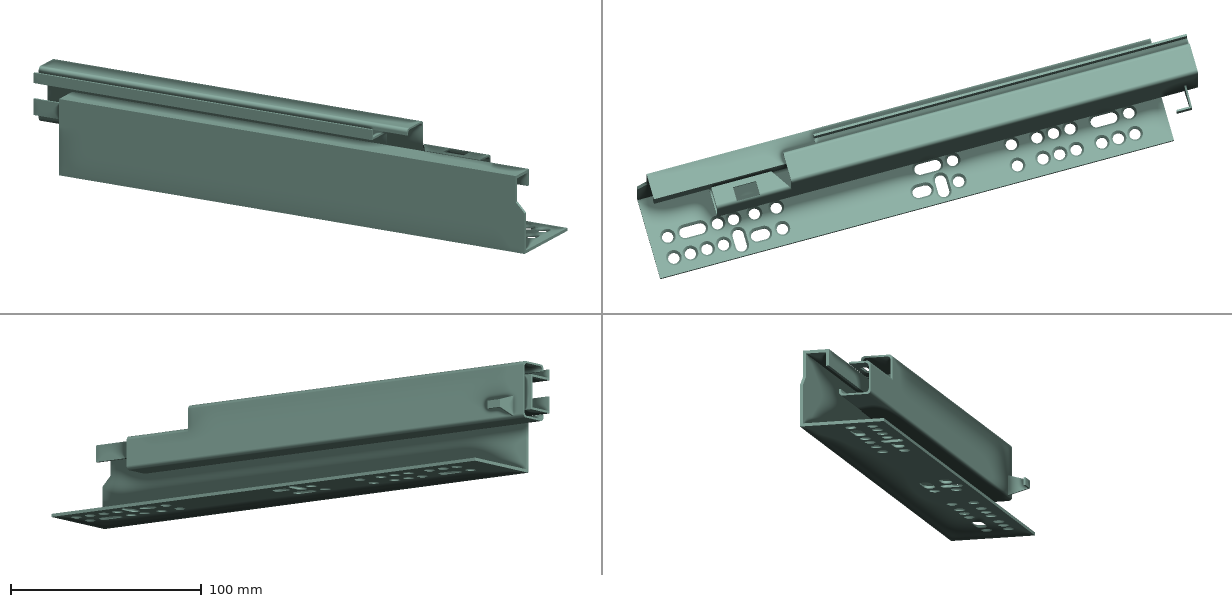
import cadquery as cq
import math

total_length = 298.0
total_height = 54.0
overlap = 0.3

bracket_start = 18.2
bracket_height = 42.0
bracket_depth = 46.0
bracket_thickness = 1.65
bracket_flange_width = 14.3
bracket_lip_drop = 9.0
notch_length = 5.5
notch_depth = 14.3

hole_diameter = 6.0
sink_diameter = 8.3
sink_angle = 45.0
hole_first_x = 37.0
hole_last_group_x = 261.0
last_group = 7
hole_group_pitch = (hole_last_group_x - hole_first_x) / last_group
group_span = 27.0
hole_step = group_span / 3
hole_back_y = 37.0
hole_front_y = 25.0
cross_slot_length = 14.5
short_slot_length = 12.5
long_slot_length = 16.7
long_slot_offset = 1.5 * hole_step
rear_slot_offset = 12.0
rear_cross_slot_offset = 23.2
middle_slot_offset = 20.0

middle_thickness = 1.2
middle_length = 203.2
middle_front_y = 5.5
middle_back_y = 21.5
middle_bottom_z = 29.0
middle_top_z = 47.7
middle_upper_lip_top = 52.2
middle_lower_lip_top = 37.8

outer_length = 221.5
outer_thickness = 1.0
outer_front_y = 10.7
outer_back_y = 28.0
outer_bottom_z = 23.8
outer_lip_height = 3.5
outer_bend = 2.0

tongue_end = 262.0
tongue_top_z = 41.7
tongue_shelf_front_y = 16.0
tongue_slant_length = 7.7
window_start = 238.5
window_length = 12.5
window_front_y = 19.0
window_back_y = 26.8

hook_x = 6.5
hook_tip_y = 39.5
hook_tip_length = 8.3
hook_root_bottom, hook_root_top = 25.0, 36.0
hook_tip_bottom, hook_tip_top = 28.3, 32.5


def block(x0, x1, y0, y1, z0, z1):
    """Box given by its limits along the three axes."""
    return cq.Workplane("XY").box(x1 - x0, y1 - y0, z1 - z0, centered=False).translate((x0, y0, z0))


def hole_outline(x, y, length, diameter, angle):
    """Slot outline on the upper face of the base; a length equal to the diameter gives a circle."""
    face = cq.Workplane("XY", origin=(x, y, bracket_thickness))
    if length > diameter:
        return face.slot2D(length, diameter, angle)
    return face.circle(diameter / 2)


def mounting_hole(x, y, length=sink_diameter, angle=0):
    """Countersunk hole or slot; length is measured over the countersink at the upper face."""
    sink_depth = (sink_diameter - hole_diameter) / 2 / math.tan(math.radians(sink_angle))
    through_length = length - (sink_diameter - hole_diameter)
    through = hole_outline(x, y, through_length, hole_diameter, angle).extrude(-bracket_thickness)
    sink = hole_outline(x, y, length, sink_diameter, angle).extrude(-sink_depth, taper=sink_angle)
    return through.union(sink)


def mounting_holes():
    """All holes of the two rows; each is listed as (group, offset within the group)."""
    def group_x(group):
        return hole_first_x + group * hole_group_pitch

    triple = [step * hole_step for step in range(3)]

    round_back = [(group, offset) for group in (0, 1, last_group) for offset in triple]
    round_back += [(2, 0), (3, 0), (6, 0), (last_group, group_span)]
    round_front = [(1, offset) for offset in triple]
    round_front += [(group, 0) for group in (0, 2, 3, 6, last_group)]
    round_front += [(6, rear_slot_offset), (6, rear_cross_slot_offset), (last_group, group_span)]

    cross_slots = [(3, hole_step), (6, rear_cross_slot_offset)]
    short_slots = [(3, middle_slot_offset), (6, rear_slot_offset)]
    long_slots = [(group, long_slot_offset) for group in (0, 3, last_group)]

    holes = [mounting_hole(group_x(group) + offset, hole_back_y) for group, offset in round_back]
    holes += [mounting_hole(group_x(group) + offset, hole_front_y) for group, offset in round_front]
    for group, offset in cross_slots:
        holes.append(mounting_hole(group_x(group) + offset, hole_back_y, cross_slot_length, 90))
    for group, offset in short_slots:
        holes.append(mounting_hole(group_x(group) + offset, hole_back_y, short_slot_length))
    for group, offset in long_slots:
        holes.append(mounting_hole(group_x(group) + offset, hole_front_y, long_slot_length))
    return holes


def make_bracket():
    """Drilled base plate, front wall and a top flange with a lip hanging from it."""
    x0, x1 = bracket_start, total_length
    t = bracket_thickness
    base = block(x0, x1, 0, bracket_depth, 0, t)
    wall = block(x0, x1, 0, t, 0, bracket_height)
    flange = block(x0, x1, 0, bracket_flange_width, bracket_height - t, bracket_height)
    lip_bottom = bracket_height - bracket_lip_drop
    lip = block(x0, x1, bracket_flange_width - t, bracket_flange_width, lip_bottom, bracket_height)
    bracket = base.union(wall).union(flange).union(lip)

    notch_x = x1 - notch_length
    slope_top = bracket_height - notch_depth
    notch = (
        cq.Workplane("XZ", origin=(0, -overlap, 0))
        .moveTo(notch_x, bracket_height + overlap)
        .lineTo(notch_x, slope_top)
        .lineTo(x1, slope_top - notch_length)
        .lineTo(x1 + overlap, slope_top - notch_length)
        .lineTo(x1 + overlap, bracket_height + overlap)
        .close()
        .extrude(-(bracket_flange_width + 2 * overlap))
    )
    bracket = bracket.cut(notch)

    for hole in mounting_holes():
        bracket = bracket.cut(hole)
    return bracket


def make_middle_rail():
    """Sheet channel: a web with two flanges, each with an upright lip at its front edge."""
    t = middle_thickness
    y0, y1 = middle_front_y, middle_back_y
    z0, z1 = middle_bottom_z, middle_top_z
    web = block(0, middle_length, y1 - t, y1, z0, z1)
    upper_flange = block(0, middle_length, y0, y1, z1 - t, z1)
    lower_flange = block(0, middle_length, y0, y1, z0, z0 + t)
    upper_lip = block(0, middle_length, y0, y0 + t, z1 - t, middle_upper_lip_top)
    lower_lip = block(0, middle_length, y0, y0 + t, z0, middle_lower_lip_top)
    return web.union(upper_flange).union(lower_flange).union(upper_lip).union(lower_lip)


def bent_tube(x0, x1, top_z):
    """Closed sheet tube with rounded bends; openings are cut in it to form the outer rail."""
    t = outer_thickness
    skin = block(x0, x1, outer_front_y, outer_back_y, outer_bottom_z, top_z).edges("|X").fillet(outer_bend)
    core = block(x0, x1, outer_front_y + t, outer_back_y - t, outer_bottom_z + t, top_z - t)
    return skin.cut(core.edges("|X").fillet(outer_bend))


def make_tongue():
    """Lower channel with a flat shelf on top, slanted at its start and pierced by a window."""
    x0, x1 = outer_length, tongue_end
    lip_top = outer_bottom_z + outer_lip_height
    above = tongue_top_z + overlap
    bend_bottom = tongue_top_z - outer_thickness - outer_bend
    opening = block(x0, x1, outer_front_y - overlap, tongue_shelf_front_y, lip_top, above)
    slant = (
        cq.Workplane("XY", origin=(0, 0, bend_bottom))
        .moveTo(x0, outer_back_y)
        .lineTo(x0 + tongue_slant_length, tongue_shelf_front_y)
        .lineTo(x0, tongue_shelf_front_y)
        .close()
        .extrude(above - bend_bottom)
    )
    window = block(window_start, window_start + window_length, window_front_y, window_back_y, bend_bottom, above)
    return bent_tube(x0, x1, tongue_top_z).cut(opening).cut(slant).cut(window)


def make_hook():
    """Tapered plate standing out behind the rail, its tip bent along the rail."""
    root_y = outer_back_y - outer_thickness / 2
    plate = (
        cq.Workplane("YZ", origin=(hook_x, 0, 0))
        .moveTo(root_y, hook_root_bottom)
        .lineTo(hook_tip_y, hook_tip_bottom)
        .lineTo(hook_tip_y, hook_tip_top)
        .lineTo(root_y, hook_root_top)
        .close()
        .extrude(outer_thickness)
    )
    tip_end = hook_x + hook_tip_length
    tip = block(hook_x, tip_end, hook_tip_y - outer_thickness, hook_tip_y, hook_tip_bottom, hook_tip_top)
    return plate.union(tip)


def make_outer_rail():
    """C-shaped rail open to the front, with the tongue at its end and the hook behind it."""
    rail = bent_tube(0, outer_length, total_height)
    lower_lip_top = outer_bottom_z + outer_lip_height
    upper_lip_bottom = total_height - outer_lip_height
    opening_back = outer_front_y + outer_bend
    opening = block(0, outer_length, outer_front_y - overlap, opening_back, lower_lip_top, upper_lip_bottom)
    return rail.cut(opening).union(make_tongue()).union(make_hook())


bracket = make_bracket()
middle_rail = make_middle_rail()
outer_rail = make_outer_rail()

result = cq.Compound.makeCompound([bracket.val(), middle_rail.val(), outer_rail.val()])